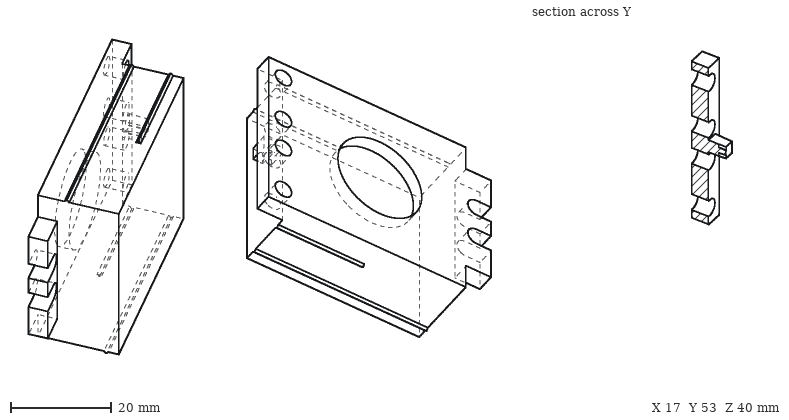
import cadquery as cq

total_depth = 17.0
total_length = 53.0
total_height = 40.0
body_height = 39.0
plate_thickness = 4.1
overhang = 6.0
body_length = total_length - 2 * overhang
body_front = -body_length / 2
body_back = body_length / 2

tab_height = 27.05
slot_width = 4.0
slot_length = 5.5
slot_spacing = 8.0
slot_offset = slot_spacing / 2

hole_diameter = 3.85
hole_edge_distance = 3.55
inner_hole_offset = slot_offset
outer_hole_offset = 15.55

recess_diameter = 20.0
recess_depth = 3.0

ridge_height = (total_height - body_height) / 2
ridge_half_width = ridge_height
front_ridge_x = 6.1
rear_ridge_x = 14.3

lug_length = 2.5
lug_height = 3.2
lug_depth = 4.1
lug_taper = 2.0
lug_y = total_length / 2 - 2.75
web_height = 1.6


def box(x_range, y_range, height):
    """Box centred on the Z mid-plane, spanning the given X and Y ranges."""
    (x0, x1), (y0, y1) = x_range, y_range
    return cq.Workplane("XY").box(x1 - x0, y1 - y0, height).translate(((x0 + x1) / 2, (y0 + y1) / 2, 0))


def ridge(x, y0, y1, side):
    """Triangular ridge along Y; side is +1 for the upper face, -1 for the lower."""
    base = side * body_height / 2
    return (
        cq.Workplane("XZ", origin=(0, y1, 0))
        .moveTo(x - ridge_half_width, base)
        .lineTo(x, base + side * ridge_height)
        .lineTo(x + ridge_half_width, base)
        .close()
        .extrude(y1 - y0)
    )


def tapered_block(y, length, height):
    """Block on the rear of the lip, narrowing toward +X."""
    return (
        cq.Workplane("YZ", origin=(plate_thickness, y, 0))
        .rect(length, height)
        .extrude(lug_depth, taper=lug_taper)
    )


def lip_lug():
    """Lug and its web; the web runs on into the body so that its tapered end is buried."""
    web_length = 2 * (lug_y - body_back)
    web = tapered_block(body_back, web_length, web_height)
    return tapered_block(lug_y, lug_length, lug_height).union(web)


def open_slot(z):
    slot_end = slot_length - total_length / 2
    arc_center = slot_end - slot_width / 2
    channel = box((0, plate_thickness), (-total_length / 2, arc_center), slot_width).translate((0, 0, z))
    rounded_end = cq.Workplane("YZ", origin=(0, arc_center, z)).circle(slot_width / 2).extrude(plate_thickness)
    return channel.union(rounded_end)


result = box((0, total_depth), (body_front, body_back), body_height)
result = result.union(box((0, plate_thickness), (body_back, total_length / 2), body_height))
result = result.union(box((0, plate_thickness), (-total_length / 2, body_front), tab_height))
result = result.union(lip_lug())

for side, long_x, short_x in ((1, front_ridge_x, rear_ridge_x), (-1, rear_ridge_x, front_ridge_x)):
    result = result.union(ridge(long_x, body_front, body_back, side))
    result = result.union(ridge(short_x, 0, body_back, side))

for z in (-slot_offset, slot_offset):
    result = result.cut(open_slot(z))

hole_offsets = (-outer_hole_offset, -inner_hole_offset, inner_hole_offset, outer_hole_offset)
hole_y = total_length / 2 - hole_edge_distance
holes = (
    cq.Workplane("YZ")
    .pushPoints([(hole_y, z) for z in hole_offsets])
    .circle(hole_diameter / 2)
    .extrude(plate_thickness)
)
recess = cq.Workplane("YZ").circle(recess_diameter / 2).extrude(recess_depth)
result = result.cut(holes).cut(recess)